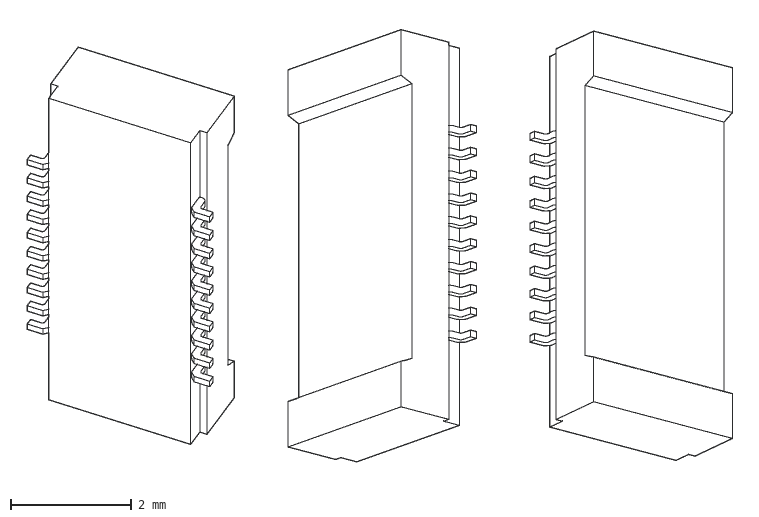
import cadquery as cq

height = 6.6
body_width = 2.89
body_depth = 1.4

step_width = 0.13
step_depth = 0.35

recess_depth = 0.24
end_wall_outer = 0.8
end_wall_inner = 0.9

lead_count = 10
lead_row_length = 3.6
lead_pitch = lead_row_length / (lead_count - 1)
lead_width = 0.12
lead_span = 3.38
lead_standoff = 0.05
lead_thickness = 0.13
inner_bend_radius = 0.045
outer_bend_chamfer = 0.085
tip_radius = 0.08
tip_gap = 0.01


def make_body():
    block = cq.Workplane("XY").box(body_width, body_depth, height, centered=(True, False, True))
    for side in (-1, 1):
        step = (
            cq.Workplane("XY")
            .box(step_width, step_depth, height, centered=(True, False, True))
            .translate((side * (body_width - step_width) / 2, 0, 0))
        )
        block = block.cut(step)
    return block


def make_recess():
    mouth_half = height / 2 - end_wall_outer
    floor_half = height / 2 - end_wall_inner
    floor_y = body_depth - recess_depth
    return (
        cq.Workplane("YZ")
        .polyline([
            (body_depth, -mouth_half),
            (body_depth, mouth_half),
            (floor_y, floor_half),
            (floor_y, -floor_half),
        ])
        .close()
        .extrude(body_width / 2, both=True)
    )


def make_lead():
    """One +X lead centred on Z = 0: a leg against the step wall and a foot pointing outward."""
    leg_inner = body_width / 2 - step_width
    leg_outer = leg_inner + lead_thickness
    tip_y = step_depth - tip_gap
    foot_end = lead_span / 2
    foot_bottom = -lead_standoff
    foot_top = foot_bottom + lead_thickness
    profile = (
        cq.Workplane("XY")
        .moveTo(leg_inner, tip_y)
        .lineTo(leg_outer - tip_radius, tip_y)
        .radiusArc((leg_outer, tip_y - tip_radius), tip_radius)
        .lineTo(leg_outer, foot_top + inner_bend_radius)
        .radiusArc((leg_outer + inner_bend_radius, foot_top), -inner_bend_radius)
        .lineTo(foot_end, foot_top)
        .lineTo(foot_end, foot_bottom)
        .lineTo(leg_inner + outer_bend_chamfer, foot_bottom)
        .lineTo(leg_inner, foot_bottom + outer_bend_chamfer)
        .close()
    )
    return profile.extrude(lead_width / 2, both=True)


right_lead = make_lead()
left_lead = right_lead.mirror("YZ")

result = make_body().cut(make_recess())
for index in range(lead_count):
    lead_z = index * lead_pitch - lead_row_length / 2
    for lead in (left_lead, right_lead):
        result = result.union(lead.translate((0, 0, lead_z)))